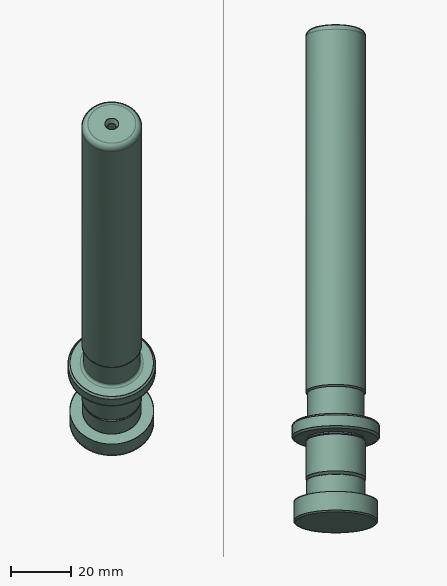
import cadquery as cq

total_height = 169.0
head_diameter = 27.9
head_height = 7.0
head_chamfer = 0.5
hub_diameter = 19.6
hub_top = 14.0

shaft_diameter = 20.0
neck_diameter = 19.0
end_chamfer = 1.0
collar_diameter = 29.0
collar_bottom = 28.7
collar_height = 5.0
collar_chamfer = 0.7
undercut_height = 1.0
neck_fillet = 1.0
neck_top = 44.3
tip_fillet = 2.0

centre_hole_diameter = 2.7
centre_hole_depth = 5.0
countersink_diameter = 4.5
countersink_angle = 60.0

shaft_radius = shaft_diameter / 2
neck_radius = neck_diameter / 2
neck_step = shaft_radius - neck_radius
collar_radius = collar_diameter / 2
collar_top = collar_bottom + collar_height


def make_foot():
    """Chamfered head with the hub standing on it."""
    head = cq.Workplane("XY").circle(head_diameter / 2).extrude(head_height)
    head = head.faces("<Z").edges().chamfer(head_chamfer)
    return head.faces(">Z").workplane().circle(hub_diameter / 2).extrude(hub_top - head_height)


def make_turned_pillar():
    """Half outline in radius and height, revolved about Z."""
    outline = (
        cq.Workplane("XZ")
        .moveTo(0, hub_top)
        .lineTo(shaft_radius - end_chamfer, hub_top)
        .lineTo(shaft_radius, hub_top + end_chamfer)
        .lineTo(shaft_radius, collar_bottom - undercut_height)
        .lineTo(neck_radius, collar_bottom - undercut_height + neck_step)
        .lineTo(neck_radius, collar_bottom)
        .lineTo(collar_radius - collar_chamfer, collar_bottom)
        .lineTo(collar_radius, collar_bottom + collar_chamfer)
        .lineTo(collar_radius, collar_top - collar_chamfer)
        .lineTo(collar_radius - collar_chamfer, collar_top)
        .lineTo(neck_radius + neck_fillet, collar_top)
        .radiusArc((neck_radius, collar_top + neck_fillet), neck_fillet)
        .lineTo(neck_radius, neck_top)
        .lineTo(shaft_radius, neck_top + neck_step)
        .lineTo(shaft_radius, total_height - tip_fillet)
        .radiusArc((shaft_radius - tip_fillet, total_height), -tip_fillet)
        .lineTo(0, total_height)
        .close()
    )
    return outline.revolve(360, (0, 0, 0), (0, 1, 0))


def cut_centre_hole(body):
    """Countersunk blind hole in the middle of the tip."""
    return (
        body.faces(">Z")
        .workplane(origin=(0, 0, total_height))
        .cskHole(centre_hole_diameter, countersink_diameter, countersink_angle, centre_hole_depth)
    )


foot = make_foot()
pillar = cut_centre_hole(make_turned_pillar())

result = cq.Compound.makeCompound([foot.val(), pillar.val()])